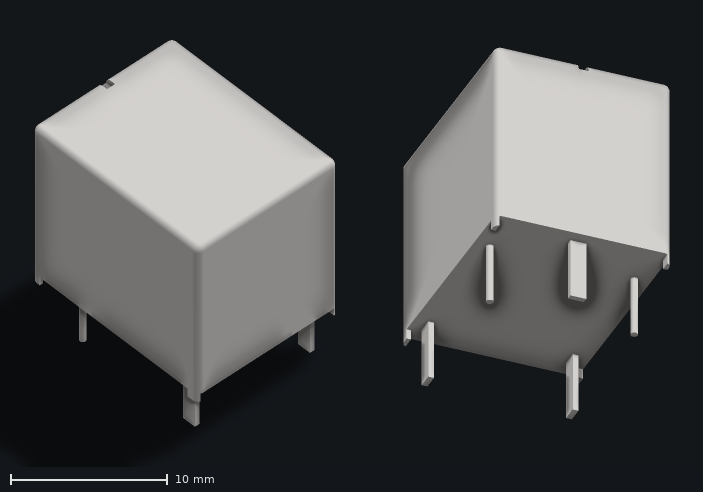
import cadquery as cq

length = 15.6
width = 12.21
body_height = 13.0
edge_radius = 0.5

foot_height = 0.7
foot_thickness = 0.3
left_foot_length = 0.75
right_foot_length = 0.95

notch_length = 0.85
notch_width = 0.7
notch_depth = edge_radius

pin_length = 4.2
blade_width = 1.1
blade_thickness = 0.4
round_pin_diameter = 0.5
pin_row_y = 5.0
common_pin_x = -6.7
round_pin_x = -4.2
contact_pin_x = 6.0


def make_housing():
    """Rounded block, cleared underneath so that only four corner feet remain."""
    block = (
        cq.Workplane("XY")
        .workplane(offset=-foot_height)
        .rect(length, width)
        .extrude(foot_height + body_height)
        .edges("|Z or >Z")
        .fillet(edge_radius)
    )
    space_between_sides = cq.Workplane("XY").box(
        length, width - 2 * foot_thickness, foot_height, centered=(True, True, False)
    )
    gap_length = length - left_foot_length - right_foot_length
    gap_center_x = (left_foot_length - right_foot_length) / 2
    space_between_ends = (
        cq.Workplane("XY")
        .center(gap_center_x, 0)
        .box(gap_length, width, foot_height, centered=(True, True, False))
    )
    clearance = space_between_sides.union(space_between_ends)
    return block.cut(clearance.translate((0, 0, -foot_height)))


def make_notch():
    """Small rectangular pocket, open to the top and to the -X side."""
    return (
        cq.Workplane("XY")
        .workplane(offset=body_height - notch_depth)
        .center((notch_length - length) / 2, 0)
        .rect(notch_length, notch_width)
        .extrude(notch_depth)
    )


def make_blade(x, y, size_x, size_y):
    """Flat terminal hanging from the underside."""
    return cq.Workplane("XY").center(x, y).rect(size_x, size_y).extrude(-pin_length)


def make_round_pin(x, y):
    """Round terminal hanging from the underside."""
    return cq.Workplane("XY").center(x, y).circle(round_pin_diameter / 2).extrude(-pin_length)


result = make_housing().cut(make_notch())
result = result.union(make_blade(common_pin_x, 0, blade_thickness, blade_width))
for row_y in (-pin_row_y, pin_row_y):
    result = result.union(make_round_pin(round_pin_x, row_y))
    result = result.union(make_blade(contact_pin_x, row_y, blade_width, blade_thickness))